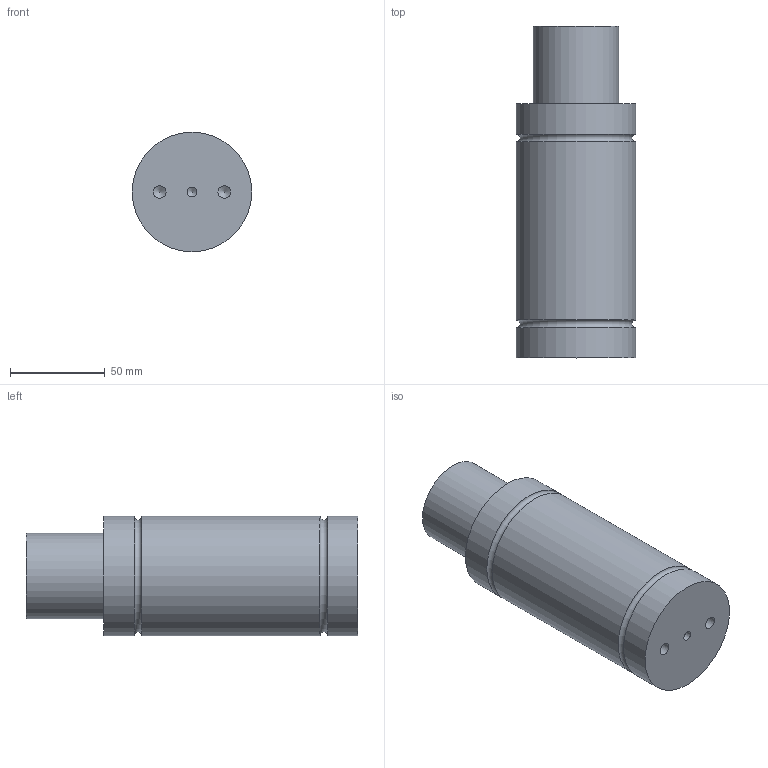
import cadquery as cq
import math

body_diameter = 63.0
body_length = 134.0
rod_diameter = 45.0
rod_length = 41.0

groove_radius = 2.0
groove_end_distance = 18.0

mounting_hole_diameter = 6.65
mounting_hole_depth = 13.0
mounting_hole_pitch = 34.0
filling_hole_diameter = 5.0
filling_hole_depth = 10.0
drill_point_angle = 118.0

body_radius = body_diameter / 2
rod_radius = rod_diameter / 2


def cylinder_along_y(radius, start_y, length):
    """Solid cylinder centred on the Y axis."""
    return cq.Workplane("XY").add(
        cq.Solid.makeCylinder(radius, length, cq.Vector(0, start_y, 0), cq.Vector(0, 1, 0))
    )


def groove_cutter(centre_y):
    """Ring whose round section is centred on the body surface."""
    return cq.Workplane("XY").add(
        cq.Solid.makeTorus(body_radius, groove_radius, cq.Vector(0, centre_y, 0), cq.Vector(0, 1, 0))
    )


def drilled_hole(x, diameter, depth):
    """Drill shape entering the base face; depth is that of the full diameter."""
    radius = diameter / 2
    point_length = radius / math.tan(math.radians(drill_point_angle / 2))
    profile = (
        cq.Workplane("XY")
        .moveTo(0, 0)
        .lineTo(radius, 0)
        .lineTo(radius, depth)
        .lineTo(0, depth + point_length)
        .close()
    )
    return profile.revolve(360, (0, 0), (0, 1)).translate((x, 0, 0))


body = cylinder_along_y(body_radius, 0, body_length)
rod = cylinder_along_y(rod_radius, body_length, rod_length)
result = body.union(rod)

for groove_y in (groove_end_distance, body_length - groove_end_distance):
    result = result.cut(groove_cutter(groove_y))

for side in (-1, 1):
    hole_x = side * mounting_hole_pitch / 2
    result = result.cut(drilled_hole(hole_x, mounting_hole_diameter, mounting_hole_depth))
result = result.cut(drilled_hole(0, filling_hole_diameter, filling_hole_depth))